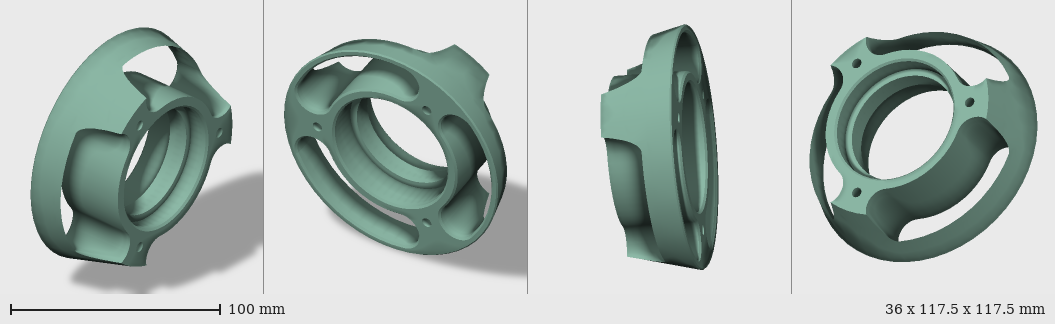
import cadquery as cq
import math

LENGTH = 36.0
BASE_RADIUS = 58.95
TIP_RADIUS = 50.0
RIM_CHAMFER = 0.8
EDGE_CHAMFER = 1.0

SEAT_RADIUS = 31.0
BORE_RADIUS = 27.5
FRONT_SEAT_DEPTH = 16.0
WEB_THICKNESS = 10.0

LUG_COUNT = 3
LUG_PITCH = 360.0 / LUG_COUNT
LUG_HALF_WIDTH = 8.5
HUB_RADIUS = 36.5
WINDOW_OUTER_RADIUS = 55.0
WINDOW_CORNER_RADIUS = 9.0

HOLE_DIAMETER = 5.0
HOLE_CIRCLE_RADIUS = 40.0

AXIS_START = cq.Vector(0, 0, 0)
AXIS_END = cq.Vector(1, 0, 0)


def polar(radius, angle):
    """Point (Y, Z) at a radius and an angle in degrees from +Y towards +Z."""
    radians = math.radians(angle)
    return (radius * math.cos(radians), radius * math.sin(radians))


def offset_point(center, radius, angle):
    """Point (Y, Z) at a radius and angle about a center."""
    dy, dz = polar(radius, angle)
    return (center[0] + dy, center[1] + dz)


def mirrored(point):
    """The point (Y, Z) reflected across the middle line of the first window."""
    angle = math.degrees(math.atan2(point[1], point[0]))
    return polar(math.hypot(*point), LUG_PITCH - angle)


def turned(profile):
    """Solid turned about X from (X, radius) points."""
    return cq.Workplane("XZ").polyline(profile).close().revolve(360, (0, 0, 0), (1, 0, 0))


def tapered_body():
    """Solid cone frustum with a chamfered base rim."""
    body = turned([(0, 0), (0, BASE_RADIUS), (LENGTH, TIP_RADIUS), (LENGTH, 0)])
    return body.faces("<X").edges().chamfer(RIM_CHAMFER)


def stepped_bore():
    """Tool for the two seats, chamfered at their mouths, and the through bore in the web."""
    web_end = FRONT_SEAT_DEPTH + WEB_THICKNESS
    return turned(
        [
            (0, 0),
            (0, SEAT_RADIUS + EDGE_CHAMFER),
            (EDGE_CHAMFER, SEAT_RADIUS),
            (FRONT_SEAT_DEPTH, SEAT_RADIUS),
            (FRONT_SEAT_DEPTH, BORE_RADIUS),
            (web_end, BORE_RADIUS),
            (web_end, SEAT_RADIUS),
            (LENGTH - EDGE_CHAMFER, SEAT_RADIUS),
            (LENGTH, SEAT_RADIUS + EDGE_CHAMFER),
            (LENGTH, 0),
        ]
    )


def window_outline(x, growth=0.0):
    """Outline at X = x of the window between the first two lugs, offset outwards by growth.

    Each corner arc is tangent to a straight lug side and to either the hub or the outer arc.
    """
    corner = WINDOW_CORNER_RADIUS + growth
    lug_side = LUG_HALF_WIDTH - growth
    hub = HUB_RADIUS - growth
    outer = WINDOW_OUTER_RADIUS + growth
    middle_angle = LUG_PITCH / 2
    lug_side_angle = -90.0

    corner_offset = lug_side + corner
    hub_angle = math.degrees(math.asin(corner_offset / (hub + corner)))
    outer_angle = math.degrees(math.asin(corner_offset / (outer - corner)))
    hub_corner = polar(hub + corner, hub_angle)
    outer_corner = polar(outer - corner, outer_angle)

    hub_tangent = polar(hub, hub_angle)
    hub_corner_middle = offset_point(hub_corner, corner, (hub_angle - 180 + lug_side_angle) / 2)
    side_start = (hub_corner[0], lug_side)
    side_end = (outer_corner[0], lug_side)
    outer_corner_middle = offset_point(outer_corner, corner, (outer_angle + lug_side_angle) / 2)
    outer_tangent = polar(outer, outer_angle)

    return (
        cq.Workplane("YZ", origin=(x, 0, 0))
        .moveTo(*hub_tangent)
        .threePointArc(hub_corner_middle, side_start)
        .lineTo(*side_end)
        .threePointArc(outer_corner_middle, outer_tangent)
        .threePointArc(polar(outer, middle_angle), mirrored(outer_tangent))
        .threePointArc(mirrored(outer_corner_middle), mirrored(side_end))
        .lineTo(*mirrored(side_start))
        .threePointArc(mirrored(hub_corner_middle), mirrored(hub_tangent))
        .threePointArc(polar(hub, middle_angle), hub_tangent)
        .close()
    )


def cut_windows(body):
    """Windows between the lugs, chamfered at the base face.

    The outer wall of each window breaks out through the cone, so the lugs stand free at the tip.
    """
    window = window_outline(0).extrude(LENGTH).val()
    mouth_wire = window_outline(0, EDGE_CHAMFER).val()
    throat_wire = window_outline(EDGE_CHAMFER).val()
    chamfer = cq.Solid.makeLoft([mouth_wire, throat_wire], True)
    for index in range(LUG_COUNT):
        for tool in (window, chamfer):
            body = body.cut(cq.Workplane(tool.rotate(AXIS_START, AXIS_END, index * LUG_PITCH)))
    return body


def lug_holes():
    """Tool for one through hole along X in each lug."""
    centers = [polar(HOLE_CIRCLE_RADIUS, index * LUG_PITCH) for index in range(LUG_COUNT)]
    return cq.Workplane("YZ").pushPoints(centers).circle(HOLE_DIAMETER / 2).extrude(LENGTH)


body = tapered_body().cut(stepped_bore())
result = cut_windows(body).cut(lug_holes())